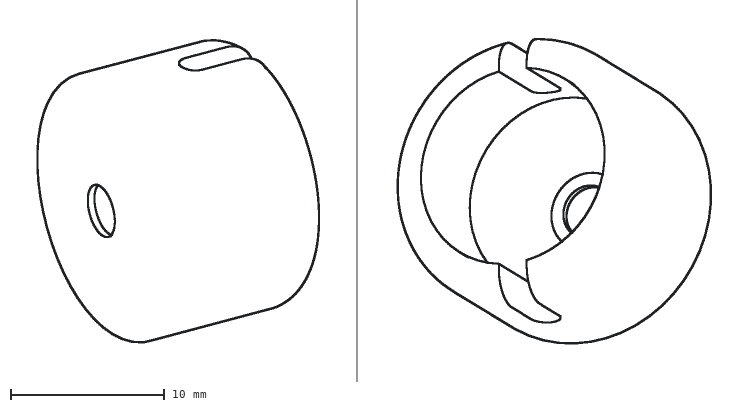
import cadquery as cq

outer_diameter = 18
body_length = 12.0
front_fillet = 1.0
back_fillet = 2.0

bore_diameter = 3.5
cavity_diameter = 13.2
front_wall = 0.5
cone_depth = 4.0
cone_end = front_wall + cone_depth
floor_diameter = cavity_diameter - 2 * cone_depth

slot_width = 2.0
slot_depth = 6.0


def cylinder_along_y(diameter, start, length):
    """Cylinder on the Y axis running from start toward +Y."""
    plane = cq.Plane(origin=(0, start, 0), xDir=(1, 0, 0), normal=(0, 1, 0))
    return cq.Workplane(plane).circle(diameter / 2).extrude(length)


def rounded_body():
    body = cylinder_along_y(outer_diameter, 0, body_length)
    body = body.faces("<Y").edges().fillet(front_fillet)
    return body.faces(">Y").edges().fillet(back_fillet)


def rim_slot():
    """Slot through both side walls along Z, open at the back face."""
    end_radius = slot_width / 2
    slot_center = body_length - slot_depth + end_radius
    return (
        cq.Workplane("XY")
        .moveTo(-end_radius, body_length)
        .lineTo(-end_radius, slot_center)
        .threePointArc((0, slot_center - end_radius), (end_radius, slot_center))
        .lineTo(end_radius, body_length)
        .close()
        .extrude(outer_diameter / 2, both=True)
    )


def tapered_cavity():
    """Round cavity whose floor widens as a cone from the floor diameter to the full diameter."""
    return (
        cq.Workplane("XY")
        .moveTo(0, front_wall)
        .lineTo(floor_diameter / 2, front_wall)
        .lineTo(cavity_diameter / 2, cone_end)
        .lineTo(cavity_diameter / 2, body_length)
        .lineTo(0, body_length)
        .close()
        .revolve(360, (0, 0, 0), (0, 1, 0))
    )


bore = cylinder_along_y(bore_diameter, 0, body_length)

result = rounded_body().cut(bore).cut(tapered_cavity()).cut(rim_slot())